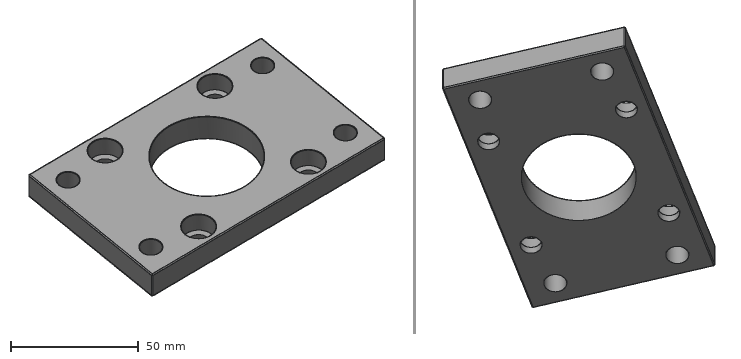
import cadquery as cq

width = 75.0
length = 120.0
thickness = 12.0
edge_chamfer = 0.5
rim_chamfer = 0.2

bore_diameter = 45.0

corner_spacing_x = 50.0
corner_spacing_y = 2 * corner_spacing_x
corner_diameter = 9.0

screw_spacing = 56.5
screw_diameter = 8.5
counterbore_rim_diameter = 14.0
counterbore_diameter = counterbore_rim_diameter - 2 * rim_chamfer
counterbore_depth = 8.5


def hole_places(plate, spacing_x, spacing_y):
    """Four places in a centred rectangle on the top face."""
    top_face = plate.faces(">Z").workplane(origin=(0, 0, thickness))
    return top_face.rect(spacing_x, spacing_y, forConstruction=True).vertices()


result = cq.Workplane("XY").box(width, length, thickness, centered=(True, True, False))
result = result.edges().chamfer(edge_chamfer)

result = result.faces(">Z").workplane(origin=(0, 0, thickness)).hole(bore_diameter)
result = hole_places(result, corner_spacing_x, corner_spacing_y).hole(corner_diameter)
result = hole_places(result, screw_spacing, screw_spacing).cboreHole(
    screw_diameter, counterbore_diameter, counterbore_depth
)

result = result.faces(">Z").edges("%CIRCLE").chamfer(rim_chamfer)